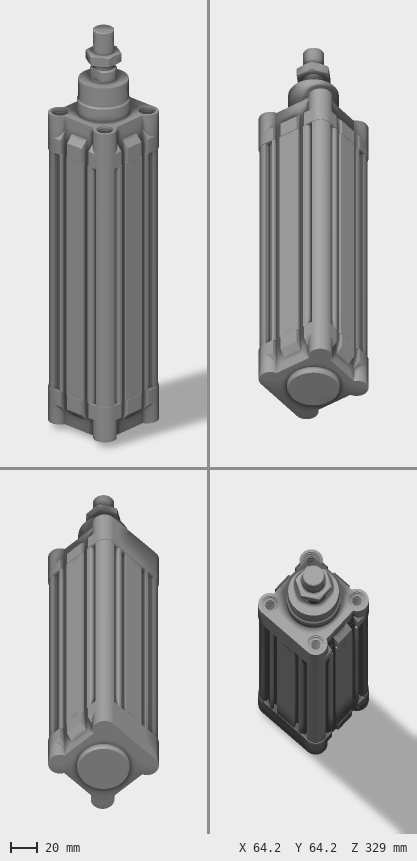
import cadquery as cq
import math

REAR_CAP_BOTTOM = 5.0
REAR_CAP_TOP = 33.5
FRONT_CAP_BOTTOM = 230.3
FRONT_CAP_TOP = 260.5
SPIGOT_RIM = 271.0
COLLAR_TOP = 288.2
ROD_SHOULDER = 297.7
NUT_BOTTOM = 302.7
NUT_TOP = 310.5
ROD_TOP = 329.0

CAP_HALF = 32.08
CORE_HALF = 26.5
POST_RADIUS = 9.0
POST_OFFSET = CAP_HALF - POST_RADIUS
LUG_HEIGHT = 3.7
LUG_SLOPE_RISE = 1.8
MIDDLE_LUG_HALF = 7.5
CORNER_LUG_INNER = 14.5

HOLE_STEPS = [(13.0, 1.3), (11.5, 2.5), (8.0, 4.0), (6.5, 5.3)]
HOLE_TIP_HEIGHT = 2.0

SPIGOT_DIAMETER = 40.0
COLLAR_DIAMETER = 38.0
SPIGOT_CHAMFER_INSET = (SPIGOT_DIAMETER - COLLAR_DIAMETER) / 2
FRONT_CHAMFER_HEIGHT = 1.3
REAR_CHAMFER_HEIGHT = 2.0

BARREL_HALF = 31.5
BARREL_CORNER_RADIUS = BARREL_HALF - POST_OFFSET
MOUTH_INNER = 8.5
MOUTH_OUTER = 13.0
LIP_THICKNESS = 1.5
SLOT_INNER = 7.5
SLOT_OUTER = 14.8
SLOT_FLOOR = 27.0
GROOVE_INNER = 15.5
GROOVE_OUTER = 21.7
GROOVE_DEPTH = 2.0
SLIT_INNER = 18.5
SLIT_OUTER = 20.7
SLIT_FLOOR = 27.3

ROD_DIAMETER = 20.0
ROD_FLATS = 17.0
FLATS_BOTTOM = 289.2
THREAD_DIAMETER = 16.0
ROD_CHAMFER = 1.0
THREAD_CHAMFER = 0.5

NUT_FLATS = 24.0
NUT_SIDES = 6
NUT_CORNERS = NUT_FLATS / math.cos(math.pi / NUT_SIDES)
NUT_FACE_DIAMETER = 23.0
NUT_CHAMFER_HEIGHT = 0.5

SIDE_ANGLES = (0, 90, 180, 270)
LUG_ANGLES = (0, 90, 270)


def cylinder(diameter, bottom, top):
    return cq.Workplane("XY", origin=(0, 0, bottom)).circle(diameter / 2).extrude(top - bottom)


def box(x0, x1, y0, y1, z0, z1):
    return cq.Workplane("XY").box(x1 - x0, y1 - y0, z1 - z0, centered=False).translate((x0, y0, z0))


def lug(x0, x1, joint, direction):
    """Lug on the -Y side that rises from the barrel joint and slopes back to the core."""
    shoulder = joint + direction * LUG_HEIGHT
    tip = shoulder + direction * LUG_SLOPE_RISE
    outline = [
        (-POST_OFFSET, joint),
        (-CAP_HALF, joint),
        (-CAP_HALF, shoulder),
        (-CORE_HALF, tip),
        (-POST_OFFSET, tip),
    ]
    return cq.Workplane("YZ", origin=(x0, 0, 0)).polyline(outline).close().extrude(x1 - x0)


def end_cap(bottom, top, joint, direction):
    """Core with corner posts, lugs on three sides and a plain +Y side."""
    cap = box(-CORE_HALF, CORE_HALF, -CORE_HALF, CORE_HALF, bottom, top)
    cap = cap.union(box(-POST_OFFSET, POST_OFFSET, 0, CAP_HALF, bottom, top))
    posts = (
        cq.Workplane("XY", origin=(0, 0, bottom))
        .rect(2 * POST_OFFSET, 2 * POST_OFFSET, forConstruction=True)
        .vertices()
        .circle(POST_RADIUS)
        .extrude(top - bottom)
    )
    cap = cap.union(posts)
    lugs = [
        lug(-POST_OFFSET, -CORNER_LUG_INNER, joint, direction),
        lug(-MIDDLE_LUG_HALF, MIDDLE_LUG_HALF, joint, direction),
        lug(CORNER_LUG_INNER, POST_OFFSET, joint, direction),
    ]
    for angle in LUG_ANGLES:
        for piece in lugs:
            cap = cap.union(piece.rotate((0, 0, 0), (0, 0, 1), angle))
    return cap


def fixing_hole():
    """Stepped hole with a conical tip, sunk from the origin down."""
    outline = [(0, 0)]
    depth_above = 0
    for diameter, depth in HOLE_STEPS:
        outline.append((diameter / 2, -depth_above))
        outline.append((diameter / 2, -depth))
        depth_above = depth
    outline.append((0, -depth_above - HOLE_TIP_HEIGHT))
    return cq.Workplane("XZ").polyline(outline).close().revolve(360, (0, 0), (0, 1))


def barrel():
    """Square extrusion with two T-slots and two slitted grooves along each side."""
    length = FRONT_CAP_BOTTOM - REAR_CAP_TOP
    body = box(-BARREL_HALF, BARREL_HALF, -BARREL_HALF, BARREL_HALF, REAR_CAP_TOP, FRONT_CAP_BOTTOM)
    body = body.edges("|Z").fillet(BARREL_CORNER_RADIUS)
    lip = BARREL_HALF - LIP_THICKNESS
    t_slot = [
        (MOUTH_INNER, -BARREL_HALF),
        (MOUTH_INNER, -lip),
        (SLOT_INNER, -lip),
        (SLOT_INNER, -SLOT_FLOOR),
        (SLOT_OUTER, -SLOT_FLOOR),
        (SLOT_OUTER, -lip),
        (MOUTH_OUTER, -lip),
        (MOUTH_OUTER, -BARREL_HALF),
    ]
    groove_floor = BARREL_HALF - GROOVE_DEPTH
    groove = [
        (GROOVE_INNER, -BARREL_HALF),
        (GROOVE_INNER + GROOVE_DEPTH, -groove_floor),
        (SLIT_INNER, -groove_floor),
        (SLIT_INNER, -SLIT_FLOOR),
        (SLIT_OUTER, -SLIT_FLOOR),
        (SLIT_OUTER, -groove_floor),
        (GROOVE_OUTER, -groove_floor),
        (GROOVE_OUTER, -BARREL_HALF),
    ]
    for outline in (t_slot, groove):
        cut = cq.Workplane("XY", origin=(0, 0, REAR_CAP_TOP)).polyline(outline).close().extrude(length)
        cut = cut.union(cut.mirror("YZ"))
        for angle in SIDE_ANGLES:
            body = body.cut(cut.rotate((0, 0, 0), (0, 0, 1), angle))
    return body


def make_housing():
    housing = barrel()
    housing = housing.union(end_cap(REAR_CAP_BOTTOM, REAR_CAP_TOP, REAR_CAP_TOP, -3.3))
    housing = housing.union(end_cap(FRONT_CAP_BOTTOM, FRONT_CAP_TOP, FRONT_CAP_BOTTOM, 3.3))

    front_spigot = cylinder(SPIGOT_DIAMETER, FRONT_CAP_TOP, SPIGOT_RIM + FRONT_CHAMFER_HEIGHT)
    front_spigot = front_spigot.faces(">Z").chamfer(FRONT_CHAMFER_HEIGHT, SPIGOT_CHAMFER_INSET)
    collar = cylinder(COLLAR_DIAMETER, FRONT_CAP_TOP, COLLAR_TOP)
    rear_spigot = cylinder(SPIGOT_DIAMETER, 0, REAR_CAP_BOTTOM)
    rear_spigot = rear_spigot.faces("<Z").chamfer(REAR_CHAMFER_HEIGHT, SPIGOT_CHAMFER_INSET)
    housing = housing.union(front_spigot).union(collar).union(rear_spigot)

    hole = fixing_hole()
    for x in (-POST_OFFSET, POST_OFFSET):
        for y in (-POST_OFFSET, POST_OFFSET):
            housing = housing.cut(hole.translate((x, y, FRONT_CAP_TOP)))

    return housing.cut(cylinder(ROD_DIAMETER, FRONT_CAP_BOTTOM, COLLAR_TOP))


def make_rod():
    rod = cylinder(ROD_DIAMETER, FRONT_CAP_BOTTOM, ROD_SHOULDER).faces(">Z").chamfer(ROD_CHAMFER)
    for side in (-1, 1):
        y0, y1 = sorted((side * ROD_FLATS / 2, side * ROD_DIAMETER))
        rod = rod.cut(box(-ROD_DIAMETER, ROD_DIAMETER, y0, y1, FLATS_BOTTOM, ROD_SHOULDER))
    thread = cylinder(THREAD_DIAMETER, FRONT_CAP_BOTTOM, ROD_TOP).faces(">Z").chamfer(THREAD_CHAMFER)
    return rod.union(thread)


def make_nut():
    """Hexagon with two flats facing X and its corners chamfered above and below."""
    height = NUT_TOP - NUT_BOTTOM
    nut = cq.Workplane("XY", origin=(0, 0, NUT_BOTTOM)).polygon(NUT_SIDES, NUT_CORNERS).extrude(height)
    nut = nut.rotate((0, 0, 0), (0, 0, 1), 180 / NUT_SIDES)
    envelope = cylinder(NUT_CORNERS, NUT_BOTTOM, NUT_TOP)
    face_inset = (NUT_CORNERS - NUT_FACE_DIAMETER) / 2
    for face in (">Z", "<Z"):
        envelope = envelope.faces(face).chamfer(NUT_CHAMFER_HEIGHT, face_inset)
    return nut.intersect(envelope).cut(cylinder(THREAD_DIAMETER, NUT_BOTTOM, NUT_TOP))


housing = make_housing()
rod = make_rod()
nut = make_nut()
result = cq.Compound.makeCompound([housing.val(), rod.val(), nut.val()])